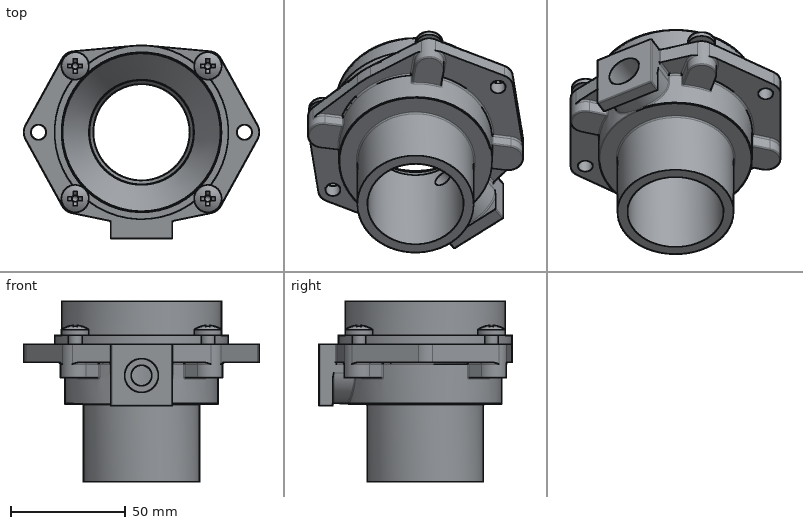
import cadquery as cq
import math


collar_radius = 35.0
collar_lip = 0.5
collar_height = 18.75
flange_radius = 38.0
flange_thickness = 3.75
funnel_exit_radius = 23.0

bore_radius = 21.0
lead_in_radius = 22.75
lead_in_depth = 5.25
plate_thickness = 8.0
barrel_radius = 33.5
barrel_depth = 26.25
tube_radius = 25.4
housing_depth = 60.25
plate_fillet = 0.75
barrel_edge_fillet = 0.3
tube_root_fillet = 0.6

ear_offset = 45.0
ear_hole_diameter = 6.5

boss_offset = 29.0
corner_radius = 6.5
boss_depth = 14.75
boss_edge_fillet = 0.5
web_root_fillet = 0.5

block_width = 27.0
block_front = 46.5
block_back = 40.5
block_corner_reach = 38.85
block_edge_fillet = 0.5
block_root_fillet = 0.5
neck_root_fillet = 0.5
neck_radius = block_width / 2
neck_axis_depth = 12.5
port_axis_depth = 13.75
port_diameter = 14.75
port_depth = 12.0
passage_diameter = 9.0

head_radius = 6.0
head_rim_height = 2.5
head_dome_height = 2.0
shank_diameter = 6.0
shank_depth = 12.0
recess_length = 6.3
recess_width = 1.65
recess_arm_rim_depth = 0.5
recess_depth = 2.5
recess_core_radius = 1.4
recess_point_depth = 0.7

boss_angles = [45, 135, 225, 315]
boss_distance = boss_offset * math.sqrt(2)
screw_points = [(x, y) for x in (-boss_offset, boss_offset) for y in (-boss_offset, boss_offset)]


def point_on(circle, angle):
    """Point on a circle (x, y, radius) at the given angle in radians."""
    x, y, radius = circle
    return (x + radius * math.cos(angle), y + radius * math.sin(angle))


def tangent_angle(first, second):
    """Angle of the outward normal of the line tangent to two circles, going counterclockwise."""
    dx = second[0] - first[0]
    dy = second[1] - first[1]
    distance = math.hypot(dx, dy)
    return math.atan2(dy, dx) - math.acos((first[2] - second[2]) / distance)


def plate_prism(depth):
    """Plate outline, wrapped around its corner circles, extruded from Z = 0 down to depth."""
    half_block = block_width / 2
    corners = [
        (ear_offset, 0, corner_radius),
        (boss_offset, boss_offset, corner_radius),
        (0, 0, flange_radius),
        (-boss_offset, boss_offset, corner_radius),
        (-ear_offset, 0, corner_radius),
        (-boss_offset, -boss_offset, corner_radius),
        (-half_block, -block_corner_reach, 0),
        (half_block, -block_corner_reach, 0),
        (boss_offset, -boss_offset, corner_radius),
    ]
    count = len(corners)
    normals = [tangent_angle(corners[i], corners[(i + 1) % count]) for i in range(count)]
    outline = cq.Workplane("XY").moveTo(*point_on(corners[0], normals[0]))
    for i in range(1, count + 1):
        corner = corners[i % count]
        arrive = normals[i - 1]
        turn = (normals[i % count] - arrive) % (2 * math.pi)
        outline = outline.lineTo(*point_on(corner, arrive))
        if corner[2] > 0:
            middle = point_on(corner, arrive + turn / 2)
            outline = outline.threePointArc(middle, point_on(corner, arrive + turn))
    return outline.close().extrude(-depth)


def cylinder(radius, top, bottom):
    return cq.Workplane("XY").workplane(offset=bottom).circle(radius).extrude(top - bottom)


def boss_web(angle):
    """Round boss with a web of the same width running inward to the barrel."""
    web = (
        cq.Workplane("XY")
        .center((boss_distance + tube_radius) / 2, 0)
        .rect(boss_distance - tube_radius, 2 * corner_radius)
        .extrude(-boss_depth)
    )
    boss = cq.Workplane("XY").center(boss_distance, 0).circle(corner_radius).extrude(-boss_depth)
    body = web.union(boss).faces("<Z").edges("not <X").fillet(boss_edge_fillet)
    return body.rotate((0, 0, 0), (0, 0, 1), angle)


def fillet_section(plane, wall):
    """Concave corner section between the plate underside and a vertical wall."""
    reach = wall + plate_fillet
    low = -plate_thickness - plate_fillet
    mid_shift = plate_fillet * (1 - math.sqrt(0.5))
    return (
        cq.Workplane(plane)
        .moveTo(wall - plate_fillet, -plate_thickness)
        .lineTo(reach, -plate_thickness)
        .threePointArc((wall + mid_shift, -plate_thickness - mid_shift), (wall, low))
        .lineTo(wall - plate_fillet, low)
        .close()
    )


def plate_root_fillets():
    """Fillets under the plate along the barrel, the webs, the bosses and the neck."""
    fillets = fillet_section("XZ", barrel_radius).revolve(360, (0, 0, 0), (0, 1, 0))
    boss_ring = fillet_section("XZ", corner_radius).revolve(360, (0, 0, 0), (0, 1, 0))
    flank = fillet_section("YZ", corner_radius).extrude(boss_distance - tube_radius)
    flank = flank.translate((tube_radius, 0, 0))
    web_fillet = flank.union(flank.mirror("XZ")).union(boss_ring.translate((boss_distance, 0, 0)))
    for angle in boss_angles:
        fillets = fillets.union(web_fillet.rotate((0, 0, 0), (0, 0, 1), angle))
    neck_fillet = fillet_section("XZ", neck_radius).extrude(block_back)
    fillets = fillets.union(neck_fillet).union(neck_fillet.mirror("YZ"))
    return fillets.intersect(plate_prism(boss_depth))


def port_block():
    """Square block with a round-bottomed neck reaching back to the barrel."""
    block = (
        cq.Workplane("XY")
        .box(block_width, block_front - block_back, block_width, centered=(True, False, False))
        .translate((0, -block_front, -block_width))
    )
    block = block.edges("(<Y and |Z) or (<Z and (<Y or |Y))").fillet(block_edge_fillet)
    neck = (
        cq.Workplane("XZ", origin=(0, -tube_radius, 0))
        .moveTo(-neck_radius, 0)
        .lineTo(-neck_radius, -neck_axis_depth)
        .threePointArc((0, -neck_axis_depth - neck_radius), (neck_radius, -neck_axis_depth))
        .lineTo(neck_radius, 0)
        .close()
        .extrude(block_back - tube_radius)
    )
    neck_meets_block = cq.selectors.BoxSelector(
        (-block_edge_fillet, -block_back - neck_root_fillet, -barrel_depth),
        (block_edge_fillet, -block_back + neck_root_fillet, -neck_axis_depth),
    )
    return block.union(neck).edges(neck_meets_block).fillet(neck_root_fillet)


def barrel_with_tube():
    """Barrel stepped down to the narrower tube, with its lower corners rounded."""
    barrel = cylinder(barrel_radius, 0, -barrel_depth).faces("<Z").edges().fillet(barrel_edge_fillet)
    barrel = barrel.union(cylinder(tube_radius, 0, -housing_depth))
    tube_root = cq.selectors.RadiusNthSelector(0)
    return barrel.faces(">Z[-2]").edges(tube_root).fillet(tube_root_fillet)


def add_boss_webs(body):
    """Join the bosses to the barrel and round the corners where the webs meet it."""
    for angle in boss_angles:
        body = body.union(boss_web(angle))
    root_x = math.sqrt(barrel_radius**2 - corner_radius**2)
    web_meets_barrel = cq.selectors.BoxSelector(
        (root_x - web_root_fillet, -corner_radius - web_root_fillet, -boss_depth),
        (root_x + web_root_fillet, corner_radius + web_root_fillet, 0),
    )
    for angle in boss_angles:
        body = body.rotate((0, 0, 0), (0, 0, 1), -angle)
        body = body.edges("|Z").edges(web_meets_barrel).fillet(web_root_fillet)
        body = body.rotate((0, 0, 0), (0, 0, 1), angle)
    return body


def add_port_block(body):
    """Join the port block and round the corner between its neck and the barrel."""
    neck_meets_barrel = cq.selectors.BoxSelector(
        (-block_width, -barrel_radius, -barrel_depth + barrel_edge_fillet),
        (block_width, -tube_radius, -neck_root_fillet),
    )
    return body.union(port_block()).edges(neck_meets_barrel).fillet(neck_root_fillet)


def add_plate(body):
    """Join the plate, rounding its corners with the block and its underside."""
    body = body.union(plate_prism(plate_thickness))
    plate_meets_block = cq.selectors.BoxSelector(
        (-block_width, -block_corner_reach - block_root_fillet, -plate_thickness),
        (block_width, -block_corner_reach + block_root_fillet, 0),
    )
    body = body.edges("|Z").edges(plate_meets_block).fillet(block_root_fillet)
    return body.union(plate_root_fillets())


def cut_bore(body):
    """Through bore with a tapered lead-in below the collar."""
    lead_in = (
        cq.Workplane("XZ")
        .polyline([
            (0, 0),
            (lead_in_radius, 0),
            (bore_radius, -lead_in_depth),
            (0, -lead_in_depth),
        ])
        .close()
        .revolve(360, (0, 0, 0), (0, 1, 0))
    )
    return body.cut(cylinder(bore_radius, 0, -housing_depth)).cut(lead_in)


def cut_port(body):
    """Stepped side port: a wide mouth, then a passage into the bore."""
    front = cq.Workplane("XZ", origin=(0, -block_front, -port_axis_depth))
    mouth = front.circle(port_diameter / 2).extrude(-port_depth)
    passage = front.circle(passage_diameter / 2).extrude(-block_front)
    return body.cut(mouth).cut(passage)


def cut_holes(body):
    """Mounting holes in the ears and blind screw holes in the bosses."""
    ear_holes = (
        cq.Workplane("XY")
        .pushPoints([(-ear_offset, 0), (ear_offset, 0)])
        .circle(ear_hole_diameter / 2)
        .extrude(-plate_thickness)
    )
    screw_holes = (
        cq.Workplane("XY")
        .pushPoints(screw_points)
        .circle(shank_diameter / 2)
        .extrude(-shank_depth)
    )
    return body.cut(ear_holes).cut(screw_holes)


def make_housing():
    body = barrel_with_tube()
    body = add_boss_webs(body)
    body = add_port_block(body)
    body = add_plate(body)
    body = cut_bore(body)
    body = cut_port(body)
    return cut_holes(body)


def make_collar():
    profile = [
        (funnel_exit_radius, 0),
        (flange_radius, 0),
        (flange_radius, flange_thickness),
        (collar_radius, flange_thickness),
        (collar_radius, collar_height),
        (collar_radius - collar_lip, collar_height),
    ]
    return cq.Workplane("XZ").polyline(profile).close().revolve(360, (0, 0, 0), (0, 1, 0))


def make_screw():
    """Pan-head screw on the Z axis, its head seated at the flange top."""
    rim = flange_thickness + head_rim_height
    apex = rim + head_dome_height
    dome_radius = (head_radius**2 + head_dome_height**2) / (2 * head_dome_height)
    half_chord = head_radius / 2
    half_height = apex - dome_radius + math.sqrt(dome_radius**2 - half_chord**2)
    body = (
        cq.Workplane("XZ")
        .moveTo(0, -shank_depth)
        .lineTo(shank_diameter / 2, -shank_depth)
        .lineTo(shank_diameter / 2, flange_thickness)
        .lineTo(head_radius, flange_thickness)
        .lineTo(head_radius, rim)
        .threePointArc((half_chord, half_height), (0, apex))
        .close()
        .revolve(360, (0, 0, 0), (0, 1, 0))
    )
    floor = apex - recess_depth
    arm = (
        cq.Workplane("XZ")
        .polyline([
            (-recess_length / 2, apex),
            (-recess_length / 2, apex - recess_arm_rim_depth),
            (-recess_core_radius, floor),
            (recess_core_radius, floor),
            (recess_length / 2, apex - recess_arm_rim_depth),
            (recess_length / 2, apex),
        ])
        .close()
        .extrude(recess_width / 2, both=True)
    )
    core = (
        cq.Workplane("XZ")
        .polyline([
            (0, apex),
            (recess_core_radius, apex),
            (recess_core_radius, floor),
            (0, floor - recess_point_depth),
        ])
        .close()
        .revolve(360, (0, 0, 0), (0, 1, 0))
    )
    return body.cut(arm).cut(arm.rotate((0, 0, 0), (0, 0, 1), 90)).cut(core)


housing = make_housing()
collar = make_collar()
screw = make_screw()
screws = [screw.translate((x, y, 0)) for x, y in screw_points]
result = cq.Compound.makeCompound([housing.val(), collar.val(), *[copy.val() for copy in screws]])